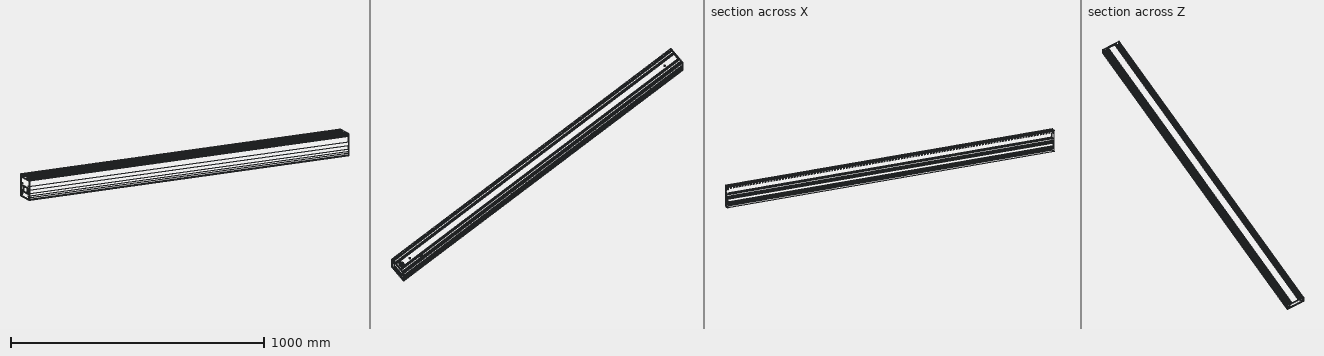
import cadquery as cq

length = 1411.0
width = 76.0
height = 90.0
cap_thickness = 3.0
body_length = length - 2 * cap_thickness
half_width = width / 2

wall = 2.5
inner_half_width = half_width - wall
lip_thickness = 5.0
slot_width = 25.5
floor_top = 81.0
floor_thickness = 4.0
floor_relief_start = 29.0
floor_relief_height = 2.0
shelf_height = 54.0
shelf_thickness = 2.0
shelf_tip = 23.5
rail_half_gap = 32.0
upper_rail_bottom = 41.0
lower_rail_bottom = 17.0
lower_rail_top = 26.5
foot_height = 10.0
clip_root_height = 7.5
clip_bend = 28.0
clip_tip = 23.0
clip_tip_bottom = 12.5
clip_tip_top = 14.5
clip_slope_top = 27.0

groove_depth = 3.0
groove_spans = [(15.0, 19.5), (27.5, 32.0)]

mount_hole_diameter = 5.2
mount_hole_y = 643.5
grommet_y = 686.0
grommet_flange_diameter = 19.0
grommet_neck_diameter = 12.0
grommet_bore_diameter = 5.2
grommet_flange_thickness = 3.0
grommet_collar_height = 1.5
plug_diameter = 12.0
plug_bore_diameter = 5.2
plug_x = -23.2
plug_y = 603.5

diffuser_thickness = 2.0
diffuser_rim_top = 3.5

gear_width = 47.0
gear_bottom = 20.5
gear_top = 47.0
gear_wall = 4.0
gear_cavity_half_width = 14.5
lid_groove_half_width = 20.5
lid_groove_height = 1.5
side_chamber_inner = 17.5
side_chamber_outer = 20.5
side_chamber_top = 36.0


def bar(x_min, x_max, z_min, z_max):
    """Full-length bar between the end caps."""
    return cq.Workplane("XY").box(
        x_max - x_min, body_length, z_max - z_min
    ).translate(((x_min + x_max) / 2, 0, (z_min + z_max) / 2))


def mirrored_bars(x_min, x_max, z_min, z_max):
    """A bar on the +X side together with its mirror image."""
    return bar(x_min, x_max, z_min, z_max).union(bar(-x_max, -x_min, z_min, z_max))


def upright_cylinder(diameter, x, y, z_min, z_max):
    return cq.Workplane("XY", origin=(x, y, z_min)).circle(diameter / 2).extrude(z_max - z_min)


def retaining_clip(side):
    """Sloped clip that rises inwards from the foot of one wall."""
    outline = [
        (inner_half_width, clip_root_height),
        (clip_bend, clip_root_height),
        (clip_tip, clip_tip_bottom),
        (clip_tip, clip_tip_top),
        (clip_slope_top, clip_tip_top),
        (rail_half_gap, foot_height),
        (inner_half_width, foot_height),
    ]
    points = [(side * x, z) for x, z in outline]
    return cq.Workplane("XZ").polyline(points).close().extrude(body_length / 2, both=True)


def make_housing():
    housing = mirrored_bars(inner_half_width, half_width, 0, height)
    housing = housing.union(mirrored_bars(slot_width / 2, half_width, height - lip_thickness, height))
    housing = housing.union(bar(-half_width, half_width, floor_top - floor_thickness, floor_top))
    floor_bottom = floor_top - floor_thickness
    relief_top = floor_bottom + floor_relief_height
    housing = housing.cut(mirrored_bars(floor_relief_start, inner_half_width, floor_bottom, relief_top))
    shelf_top = shelf_height + shelf_thickness
    housing = housing.union(mirrored_bars(shelf_tip, half_width, shelf_height, shelf_top))
    housing = housing.union(mirrored_bars(rail_half_gap, half_width, upper_rail_bottom, shelf_height))
    housing = housing.union(mirrored_bars(rail_half_gap, half_width, lower_rail_bottom, lower_rail_top))
    housing = housing.union(mirrored_bars(rail_half_gap, half_width, diffuser_rim_top, foot_height))
    for side in (-1, 1):
        housing = housing.union(retaining_clip(side))
    for x_min, x_max in groove_spans:
        housing = housing.cut(mirrored_bars(x_min, x_max, height - groove_depth, height))
    for y in (-mount_hole_y, mount_hole_y):
        housing = housing.cut(upright_cylinder(mount_hole_diameter, 0, y, floor_bottom, floor_top))
    housing = housing.cut(upright_cylinder(grommet_neck_diameter, 0, grommet_y, floor_bottom, floor_top))
    lip_bottom = height - lip_thickness
    return housing.cut(upright_cylinder(plug_diameter, plug_x, plug_y, lip_bottom, height))


def make_end_cap(side):
    y = side * (length - cap_thickness) / 2
    return cq.Workplane("XY").box(width, cap_thickness, height).translate((0, y, height / 2))


def make_diffuser():
    """Flat cover whose long edges turn up against the housing feet."""
    sheet = bar(-inner_half_width, inner_half_width, 0, diffuser_thickness)
    rims = mirrored_bars(rail_half_gap, inner_half_width, 0, diffuser_rim_top)
    return sheet.union(rims)


def make_gear_channel():
    channel = bar(-gear_width / 2, gear_width / 2, gear_bottom, gear_top)
    cavity_bottom = gear_bottom + gear_wall
    cavity_top = gear_top - gear_wall
    channel = channel.cut(
        bar(-gear_cavity_half_width, gear_cavity_half_width, cavity_bottom, cavity_top)
    )
    groove_bottom = cavity_top - lid_groove_height
    channel = channel.cut(bar(-lid_groove_half_width, lid_groove_half_width, groove_bottom, cavity_top))
    return channel.cut(
        mirrored_bars(side_chamber_inner, side_chamber_outer, cavity_bottom, side_chamber_top)
    )


def make_grommet():
    flange_top = floor_top + grommet_flange_thickness
    collar_top = flange_top + grommet_collar_height
    neck_bottom = floor_top - floor_thickness
    grommet = upright_cylinder(grommet_flange_diameter, 0, grommet_y, floor_top, flange_top)
    grommet = grommet.union(upright_cylinder(grommet_neck_diameter, 0, grommet_y, neck_bottom, collar_top))
    return grommet.cut(upright_cylinder(grommet_bore_diameter, 0, grommet_y, neck_bottom, collar_top))


def make_plug():
    bottom = height - lip_thickness
    plug = upright_cylinder(plug_diameter, plug_x, plug_y, bottom, height)
    return plug.cut(upright_cylinder(plug_bore_diameter, plug_x, plug_y, bottom, height))


housing = make_housing()
end_caps = [make_end_cap(side) for side in (-1, 1)]
diffuser = make_diffuser()
gear_channel = make_gear_channel()
grommet = make_grommet()
plug = make_plug()

result = cq.Compound.makeCompound(
    [
        housing.val(),
        *[cap.val() for cap in end_caps],
        diffuser.val(),
        gear_channel.val(),
        grommet.val(),
        plug.val(),
    ]
)